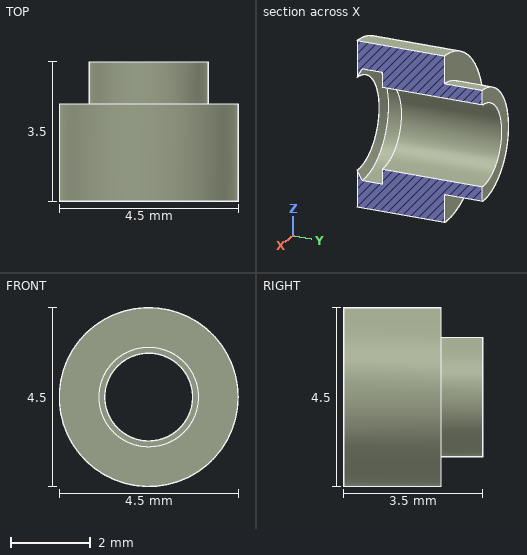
import cadquery as cq
import math

body_diameter = 4.5
body_length = 2.45
neck_diameter = 3.0
total_length = 3.5
bore_diameter = 2.2
mouth_diameter = 2.5
recess_diameter = neck_diameter
recess_depth = 0.7
lip_angle = 60.0

neck_length = total_length - body_length
lip_depth = (recess_diameter - mouth_diameter) / 2 / math.tan(math.radians(lip_angle))


def cylinder_along_y(diameter, start, length):
    """Solid cylinder on the Y axis, from start towards +Y."""
    plane = cq.Workplane("XZ", origin=(0, start, 0))
    return plane.circle(diameter / 2).extrude(-length)


body = cylinder_along_y(body_diameter, 0, body_length)
neck = cylinder_along_y(neck_diameter, body_length, neck_length)

bore = cylinder_along_y(bore_diameter, 0, total_length)

recess = (
    cq.Workplane("XY")
    .moveTo(0, 0)
    .lineTo(mouth_diameter / 2, 0)
    .lineTo(recess_diameter / 2, lip_depth)
    .lineTo(recess_diameter / 2, recess_depth)
    .lineTo(0, recess_depth)
    .close()
    .revolve(360, (0, 0, 0), (0, 1, 0))
)

result = body.union(neck).cut(bore).cut(recess)